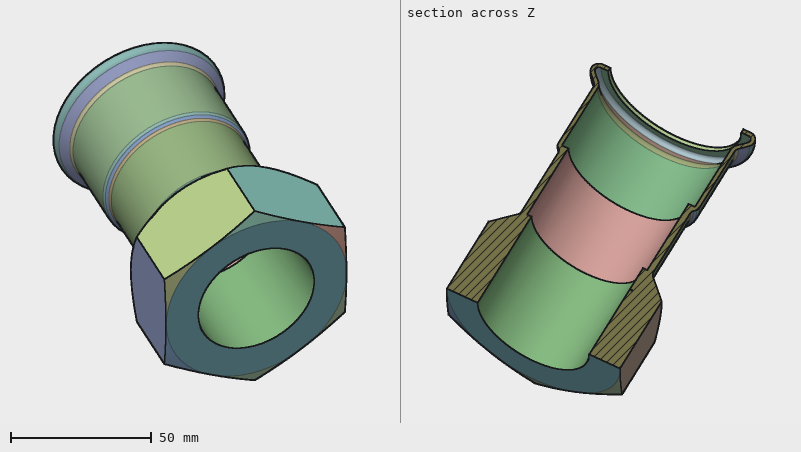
import cadquery as cq
import math

SIN45 = math.sin(math.radians(45))
SIN22 = math.sin(math.radians(22.5))
COS22 = math.cos(math.radians(22.5))

total_length = 108.0
socket_end = 36.4
neck_end = 67.4

bead_radius = 32.9
socket_radius = 57.0 / 2
neck_radius = 53.4 / 2
socket_bore_radius = 26.8
neck_bore_radius = 24.2
head_bore_radius = 22.5
wall = socket_radius - socket_bore_radius

bead_round = 3.1
bead_bend = 2.2
step_bend = 1.6
head_bend = 1.8

across_flats = 70.0
flat_radius = across_flats / 2
corner_radius = across_flats / math.sqrt(3)
end_chamfer_angle = 15.0
end_chamfer_length = (corner_radius - flat_radius) * math.tan(math.radians(end_chamfer_angle))

bead_x = bead_round
bead_centre_radius = bead_radius - bead_round
bend_centre_radius = socket_radius + bead_bend
socket_start = bead_x + bead_centre_radius - bend_centre_radius + (bead_round + bead_bend) / SIN45

bend_run = step_bend * SIN45
bend_drop = step_bend * (1 - SIN45)
step_cone = socket_radius - neck_radius - 2 * bend_drop
step_end = socket_end + 2 * bend_run + step_cone

neck_bore_start = socket_end
head_bore_start = neck_end


def bead_to_socket(profile, inset):
    """Continue a profile round the bead, down its cone and onto the socket, inset from the outer wall."""
    bead_r = bead_round - inset
    bend_r = bead_bend + inset
    return (
        profile.threePointArc(
            (bead_x - bead_r * SIN22, bead_centre_radius + bead_r * COS22),
            (bead_x + bead_r * SIN45, bead_centre_radius + bead_r * SIN45),
        )
        .lineTo(socket_start - bend_r * SIN45, bend_centre_radius - bend_r * SIN45)
        .threePointArc(
            (socket_start - bend_r * SIN22, bend_centre_radius - bend_r * COS22),
            (socket_start, bend_centre_radius - bend_r),
        )
    )


def revolve_about_x(profile):
    return profile.close().revolve(360, (0, 0, 0), (1, 0, 0))


def make_body():
    """Solid outer shape of the bead, socket and neck."""
    profile = cq.Workplane("XY").lineTo(0, bead_centre_radius)
    profile = (
        bead_to_socket(profile, 0)
        .lineTo(socket_end, socket_radius)
        .threePointArc(
            (socket_end + step_bend * SIN22, socket_radius - step_bend * (1 - COS22)),
            (socket_end + bend_run, socket_radius - bend_drop),
        )
        .lineTo(step_end - bend_run, neck_radius + bend_drop)
        .threePointArc(
            (step_end - step_bend * SIN22, neck_radius + step_bend * (1 - COS22)),
            (step_end, neck_radius),
        )
        .lineTo(neck_end, neck_radius)
        .lineTo(neck_end, 0)
    )
    return revolve_about_x(profile)


def make_head():
    """Hexagonal prism trimmed by a 45 degree cone towards the neck and a shallow cone at the end."""
    cone_start = neck_end + head_bend * SIN45
    cone_start_radius = neck_radius + head_bend * (1 - SIN45)
    cone_end = cone_start + corner_radius - cone_start_radius
    envelope = revolve_about_x(
        cq.Workplane("XY")
        .moveTo(neck_end, 0)
        .lineTo(neck_end, neck_radius)
        .threePointArc(
            (neck_end + head_bend * SIN22, neck_radius + head_bend * (1 - COS22)),
            (cone_start, cone_start_radius),
        )
        .lineTo(cone_end, corner_radius)
        .lineTo(total_length - end_chamfer_length, corner_radius)
        .lineTo(total_length, flat_radius)
        .lineTo(total_length, 0)
    )
    corners = [
        (corner_radius * math.sin(math.radians(60 * i)), corner_radius * math.cos(math.radians(60 * i)))
        for i in range(6)
    ]
    prism = (
        cq.Workplane("YZ")
        .workplane(offset=neck_end)
        .polyline(corners)
        .close()
        .extrude(total_length - neck_end)
    )
    return prism.intersect(envelope)


def make_bore():
    """Stepped through bore with a seal groove inside the bead."""
    profile = (
        cq.Workplane("XY")
        .lineTo(0, socket_bore_radius)
        .lineTo(wall, socket_bore_radius)
        .lineTo(wall, bead_centre_radius)
    )
    profile = (
        bead_to_socket(profile, wall)
        .lineTo(neck_bore_start, socket_bore_radius)
        .lineTo(neck_bore_start, neck_bore_radius)
        .lineTo(head_bore_start, neck_bore_radius)
        .lineTo(head_bore_start, head_bore_radius)
        .lineTo(total_length, head_bore_radius)
        .lineTo(total_length, 0)
    )
    return revolve_about_x(profile)


result = make_body().union(make_head()).cut(make_bore())